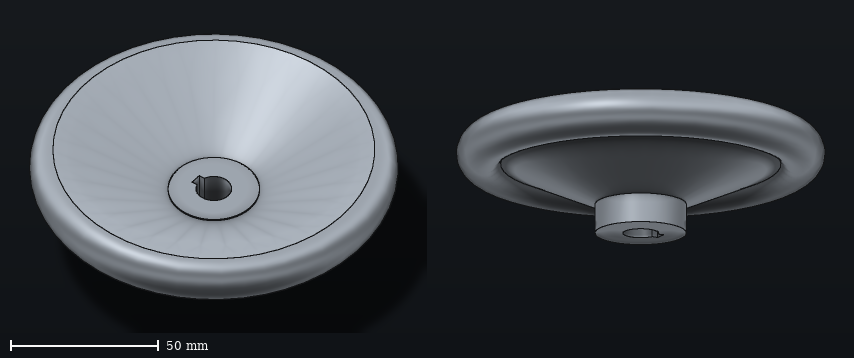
import cadquery as cq
import math


wheel_diameter = 125.0
total_height = 36.0
rim_height = 16.0
hub_diameter = 31.0
hub_height = 18.0
hub_projection = 10.0
web_top_at_hub = 17.5
web_angle = math.radians(24)
bore_diameter = 12.0
key_width = 4.0
key_depth = 1.8

wheel_radius = wheel_diameter / 2
hub_radius = hub_diameter / 2
bore_radius = bore_diameter / 2
rim_radius = rim_height / 2
rim_centre_radius = wheel_radius - rim_radius
rim_middle = total_height - rim_radius


def underside_at_rim():
    """Radius and height where the sloping web underside runs into the round rim."""
    run = rim_centre_radius - hub_radius
    rise = rim_middle - hub_projection
    along_slope = run * math.cos(web_angle) + rise * math.sin(web_angle)
    off_slope = rise * math.cos(web_angle) - run * math.sin(web_angle)
    slope_length = along_slope - math.sqrt(rim_radius**2 - off_slope**2)
    return (
        hub_radius + slope_length * math.cos(web_angle),
        hub_projection + slope_length * math.sin(web_angle),
    )


def wheel_body():
    """Revolve the half section of hub, web and rim about Z."""
    section = (
        cq.Workplane("XZ")
        .moveTo(0, 0)
        .lineTo(hub_radius, 0)
        .lineTo(hub_radius, hub_projection)
        .lineTo(*underside_at_rim())
        .threePointArc((wheel_radius, rim_middle), (rim_centre_radius, total_height))
        .lineTo(hub_radius, web_top_at_hub)
        .lineTo(hub_radius, hub_height)
        .lineTo(0, hub_height)
        .close()
    )
    return section.revolve(360, (0, 0, 0), (0, 1, 0))


def keyed_bore():
    """Through bore with a rectangular keyway on the -X side."""
    bore = cq.Workplane("XY").circle(bore_radius).extrude(hub_height)
    key_reach = bore_radius + key_depth
    keyway = (
        cq.Workplane("XY")
        .center(-key_reach / 2, 0)
        .rect(key_reach, key_width)
        .extrude(hub_height)
    )
    return bore.union(keyway)


result = wheel_body().cut(keyed_bore())